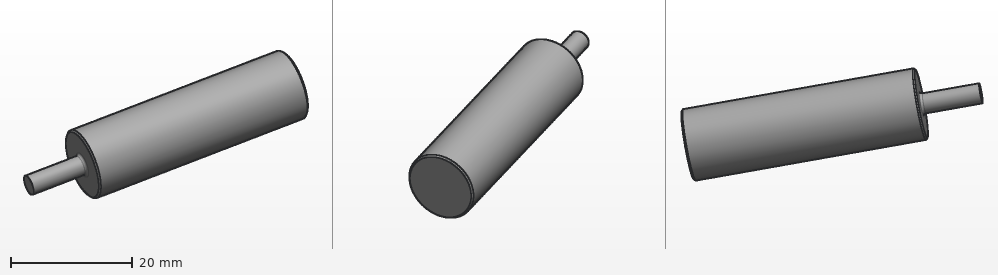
import cadquery as cq

total_length = 49.2
body_diameter = 12.0
body_chamfer = 0.3
shaft_diameter = 3.4
shaft_length = 10.0
root_fillet = 0.45

body_length = total_length - shaft_length


def make_body():
    """Cylinder along Y, from the shaft end at Y = 0, chamfered at both ends."""
    cylinder = cq.Workplane("XZ").circle(body_diameter / 2).extrude(-body_length)
    return cylinder.faces("<Y or >Y").edges().chamfer(body_chamfer)


def add_shaft(body):
    """Slim shaft toward -Y, blended into the body end by a fillet at its root."""
    shaft = cq.Workplane("XZ").circle(shaft_diameter / 2).extrude(shaft_length)
    root_edge = cq.selectors.RadiusNthSelector(0)
    end_face = cq.selectors.NearestToPointSelector((body_diameter / 4, 0, 0))
    return body.union(shaft).faces(end_face).edges(root_edge).fillet(root_fillet)


result = add_shaft(make_body())